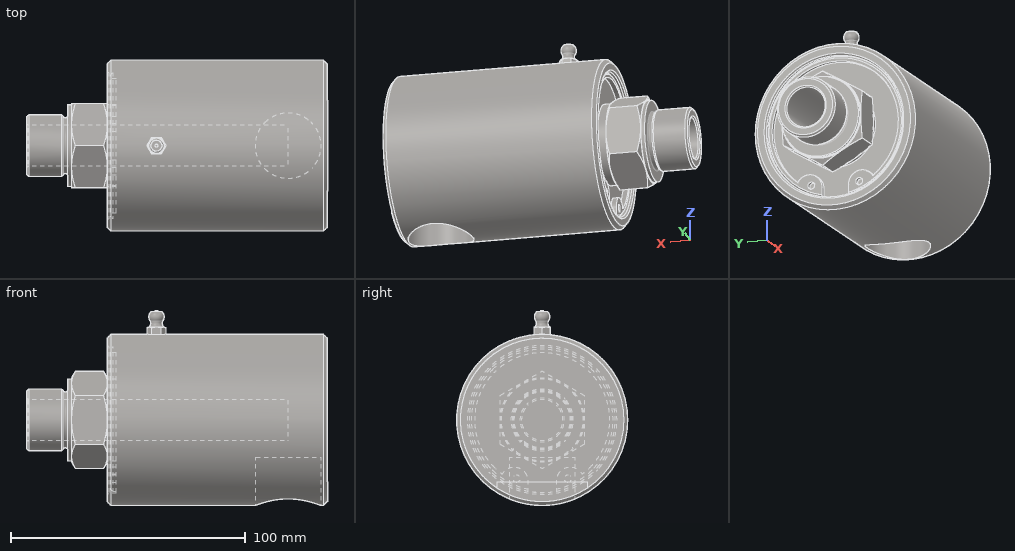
import cadquery as cq
import math

TOTAL_LENGTH = 128.3

HOUSING_RADIUS = 73.0 / 2
HOUSING_START = 34.3
FACE_PAD_HEIGHT = 0.3
HOUSING_END = TOTAL_LENGTH - FACE_PAD_HEIGHT
HOUSING_CHAMFER = 1.7

FACE_PAD_WIDTH = 38.5
FACE_PAD_TOP = -26.4

RECESS_RADIUS = 62.1 / 2
RECESS_CHAMFER = 0.8
RING_DEPTH = 1.5
RING_THICKNESS = 2.3
RING_FRONT = HOUSING_START + RING_DEPTH
RECESS_FLOOR = RING_FRONT + RING_THICKNESS
RING_BEVEL = 0.9
RING_INNER_RADIUS = 28.7
EAR_OFFSET_Y = 11.9
EAR_Z = -26.0
EAR_RADIUS = 5.9
EAR_HOLE_DIAMETER = 3.1
EAR_HOLE_OFFSET_Y = 10.9
EAR_HOLE_Z = -25.0
RING_GAP_HALF = EAR_OFFSET_Y - EAR_RADIUS

THREAD_RADIUS = 26.4 / 2
THREAD_CHAMFER = 0.9
THREAD_END = 14.8
RUNOUT_LENGTH = 0.8
RUNOUT_DROP = 0.5
RELIEF_RADIUS = 23.9 / 2
COLLAR_RADIUS = 35.0 / 2
COLLAR_START = 17.5
HEX_START = 19.1
HEX_END = 34.4
HEX_ACROSS_FLATS = 35.9
HEX_CHAMFER_ANGLE = 30.0
SHAFT_RADIUS = 34.9 / 2
BORE_RADIUS = 17.5 / 2
BORE_CHAMFER = 0.6

PORT_X = 111.3
PORT_RADIUS = 28.0 / 2
PORT_DEPTH = 20.5
BORE_DEPTH = PORT_X

NIPPLE_X = 55.3
NIPPLE_HEX_ACROSS_FLATS = 7.0
NIPPLE_HEX_TOP = 39.5
NIPPLE_FOOT_RADIUS = 3.2
NIPPLE_NECK_RADIUS = 2.6
NIPPLE_NECK_TOP_RADIUS = 2.7
NIPPLE_NECK_TOP = 42.1
NIPPLE_BALL_RADIUS = 3.3
NIPPLE_BALL_Z = 44.0
NIPPLE_TIP_RADIUS = 2.3
NIPPLE_TIP_Z = 46.2
NIPPLE_VALVE_RADIUS = 0.6
NIPPLE_TOP = 46.6
NIPPLE_EMBED = 2.6
NIPPLE_ROOT = HOUSING_RADIUS - NIPPLE_EMBED


def cylinder_x(radius, start, end):
    """Solid cylinder on the X axis from start to end."""
    return cq.Workplane("YZ").workplane(offset=start).circle(radius).extrude(end - start)


def revolve_x(profile):
    """Turn a profile drawn as (x, radius) about the X axis."""
    return profile.close().revolve(360, (0, 0, 0), (1, 0, 0))


def make_housing():
    housing = cylinder_x(HOUSING_RADIUS, HOUSING_START, HOUSING_END)
    housing = housing.faces("<X or >X").chamfer(HOUSING_CHAMFER)
    recess = cylinder_x(RECESS_RADIUS, HOUSING_START, RECESS_FLOOR)
    mouth = revolve_x(
        cq.Workplane("XY")
        .moveTo(HOUSING_START, 0)
        .lineTo(HOUSING_START, RECESS_RADIUS + RECESS_CHAMFER)
        .lineTo(HOUSING_START + RECESS_CHAMFER, RECESS_RADIUS)
        .lineTo(HOUSING_START + RECESS_CHAMFER, 0)
    )
    return housing.cut(recess).cut(mouth)


def make_face_pad():
    """Raised strip below a chord of the rear face, trimmed to the face outline."""
    disc = cylinder_x(HOUSING_RADIUS - HOUSING_CHAMFER, HOUSING_END, TOTAL_LENGTH)
    strip = cq.Workplane("XY").box(
        TOTAL_LENGTH, FACE_PAD_WIDTH, HOUSING_RADIUS, centered=(False, True, False)
    )
    return disc.intersect(strip.translate((0, 0, FACE_PAD_TOP - HOUSING_RADIUS)))


def make_retaining_ring():
    """Internal retaining ring, open at the bottom, with an ear on each side of the gap."""
    disc = cylinder_x(RECESS_RADIUS, RING_FRONT, RECESS_FLOOR).faces("<X").chamfer(RING_BEVEL)
    ring_plane = cq.Workplane("YZ").workplane(offset=RING_FRONT)
    opening = ring_plane.circle(RING_INNER_RADIUS).extrude(RING_THICKNESS)
    gap = (
        ring_plane.center(0, -HOUSING_RADIUS)
        .rect(2 * RING_GAP_HALF, HOUSING_RADIUS)
        .extrude(RING_THICKNESS)
    )
    ring = disc.cut(opening)
    ear_centres = [(-EAR_OFFSET_Y, EAR_Z), (EAR_OFFSET_Y, EAR_Z)]
    ears = ring_plane.pushPoints(ear_centres).circle(EAR_RADIUS).extrude(RING_THICKNESS)
    leg_height = HOUSING_RADIUS + EAR_Z
    leg_centres = [(y, EAR_Z - leg_height / 2) for y, _ in ear_centres]
    legs = ring_plane.pushPoints(leg_centres).rect(2 * EAR_RADIUS, leg_height).extrude(RING_THICKNESS)
    hole_centres = [(-EAR_HOLE_OFFSET_Y, EAR_HOLE_Z), (EAR_HOLE_OFFSET_Y, EAR_HOLE_Z)]
    holes = ring_plane.pushPoints(hole_centres).circle(EAR_HOLE_DIAMETER / 2).extrude(RING_THICKNESS)
    return ring.union(ears.union(legs).intersect(disc)).cut(gap).cut(holes)


def make_hexagon(across_flats, start, end):
    """Hexagon on the X axis with corners up and down, both ends chamfered down to the flats."""
    flat_radius = across_flats / 2
    corner_radius = flat_radius / math.cos(math.pi / 6)
    hexagon = (
        cq.Workplane("YZ")
        .workplane(offset=start)
        .polygon(6, 2 * corner_radius)
        .extrude(end - start)
        .rotate((0, 0, 0), (1, 0, 0), 90)
    )
    setback = (corner_radius - flat_radius) * math.tan(math.radians(HEX_CHAMFER_ANGLE))
    envelope = revolve_x(
        cq.Workplane("XY")
        .moveTo(start, 0)
        .lineTo(start, flat_radius)
        .lineTo(start + setback, corner_radius)
        .lineTo(end - setback, corner_radius)
        .lineTo(end, flat_radius)
        .lineTo(end, 0)
    )
    return hexagon.intersect(envelope)


def make_rotor():
    """Threaded end with a rounded relief groove, then collar, wrench hexagon and shaft."""
    runout_end = THREAD_END + RUNOUT_LENGTH
    runout_radius = THREAD_RADIUS - RUNOUT_DROP
    relief_mid = ((runout_end + COLLAR_START) / 2, RELIEF_RADIUS)
    threaded_end = revolve_x(
        cq.Workplane("XY")
        .lineTo(0, THREAD_RADIUS - THREAD_CHAMFER)
        .lineTo(THREAD_CHAMFER, THREAD_RADIUS)
        .lineTo(THREAD_END, THREAD_RADIUS)
        .lineTo(runout_end, runout_radius)
        .threePointArc(relief_mid, (COLLAR_START, runout_radius))
        .lineTo(COLLAR_START, 0)
    )
    collar = cylinder_x(COLLAR_RADIUS, COLLAR_START, HEX_START)
    shaft = cylinder_x(SHAFT_RADIUS, HEX_END, RECESS_FLOOR)
    hexagon = make_hexagon(HEX_ACROSS_FLATS, HEX_START, HEX_END)
    return threaded_end.union(collar).union(hexagon).union(shaft)


def make_bore():
    return revolve_x(
        cq.Workplane("XY")
        .lineTo(0, BORE_RADIUS + BORE_CHAMFER)
        .lineTo(BORE_CHAMFER, BORE_RADIUS)
        .lineTo(BORE_DEPTH, BORE_RADIUS)
        .lineTo(BORE_DEPTH, 0)
    )


def make_port():
    return (
        cq.Workplane("XY")
        .workplane(offset=-HOUSING_RADIUS)
        .center(PORT_X, 0)
        .circle(PORT_RADIUS)
        .extrude(PORT_DEPTH)
    )


def make_grease_nipple():
    hexagon = make_hexagon(NIPPLE_HEX_ACROSS_FLATS, NIPPLE_ROOT, NIPPLE_HEX_TOP)
    hexagon = hexagon.rotate((0, 0, 0), (0, 1, 0), -90)
    neck_mid = (NIPPLE_NECK_RADIUS, (NIPPLE_HEX_TOP + NIPPLE_NECK_TOP) / 2)
    head = (
        cq.Workplane("XZ")
        .moveTo(0, NIPPLE_HEX_TOP)
        .lineTo(NIPPLE_FOOT_RADIUS, NIPPLE_HEX_TOP)
        .threePointArc(neck_mid, (NIPPLE_NECK_TOP_RADIUS, NIPPLE_NECK_TOP))
        .threePointArc((NIPPLE_BALL_RADIUS, NIPPLE_BALL_Z), (NIPPLE_TIP_RADIUS, NIPPLE_TIP_Z))
        .lineTo(NIPPLE_VALVE_RADIUS, NIPPLE_TIP_Z)
        .lineTo(NIPPLE_VALVE_RADIUS, NIPPLE_TOP)
        .lineTo(0, NIPPLE_TOP)
        .close()
        .revolve(360, (0, 0, 0), (0, 1, 0))
    )
    return hexagon.union(head).translate((NIPPLE_X, 0, 0))


result = (
    make_housing()
    .union(make_face_pad())
    .union(make_retaining_ring())
    .union(make_rotor())
    .cut(make_bore())
    .cut(make_port())
    .union(make_grease_nipple())
)